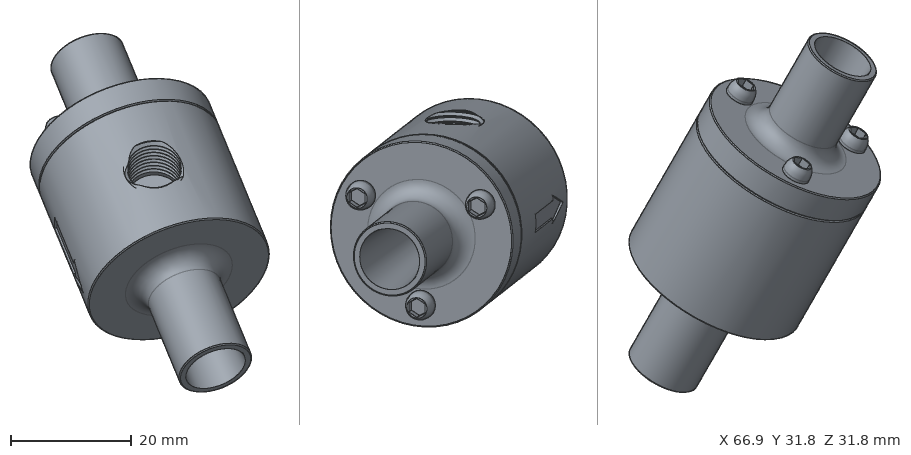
import cadquery as cq
import math

total_length = 66.85
inlet_x = -total_length / 2
outlet_x = total_length / 2
flange_x = inlet_x + 17.5
flange_thickness = 4.85
body_length = 25.45
joint_x = flange_x + flange_thickness
body_end_x = joint_x + body_length

body_radius = 31.75 / 2
tube_radius = 12.7 / 2
tube_fillet = 3.0
edge_chamfer = 0.2

mouth_radius = 5.2
throat_radius = 3.95

screw_count = 3
first_screw_angle = -90
screw_circle_radius = 12.0
head_radius = 2.43
head_tip_radius = 1.75
head_height = 2.45
head_rim_height = 0.5
head_crown_bulge = 0.15
socket_flats = 2.8
socket_depth = 1.4

port_x = inlet_x + 35.15
port_minor_radius = 8.87 / 2
port_major_radius = 10.28 / 2
port_depth = 9.0
thread_pitch = 25.4 / 27
thread_crest_width = 0.06
thread_overlap = 0.05
thread_turns_below_surface = 8.67
thread_turns = 10

arrow_tail_x = inlet_x + 30.25
arrow_shaft_length = 9.8
arrow_length = 15.0
arrow_shaft_width = 3.08
arrow_head_width = 4.8
arrow_depth = 0.45


def cylinder_along_x(start_x, end_x, radius):
    return cq.Workplane("YZ", origin=(start_x, 0, 0)).circle(radius).extrude(end_x - start_x)


def chamfered_disc(start_x, end_x):
    disc = cylinder_along_x(start_x, end_x, body_radius)
    return disc.faces("<X or >X").edges().chamfer(edge_chamfer)


def filleted_tube(base_x, end_x):
    """Tube whose root flares into the body face at base_x."""
    outward = math.copysign(1, end_x - base_x)
    fillet_end_x = base_x + outward * tube_fillet
    fillet_drop = tube_fillet * (1 - math.sqrt(0.5))
    return (
        cq.Workplane("XY")
        .moveTo(base_x, 0)
        .lineTo(base_x, tube_radius + tube_fillet)
        .threePointArc(
            (base_x + outward * fillet_drop, tube_radius + fillet_drop),
            (fillet_end_x, tube_radius),
        )
        .lineTo(end_x - outward * edge_chamfer, tube_radius)
        .lineTo(end_x, tube_radius - edge_chamfer)
        .lineTo(end_x, 0)
        .close()
        .revolve(360, (0, 0, 0), (1, 0, 0))
    )


def throat_bore():
    return (
        cq.Workplane("XY")
        .moveTo(inlet_x, 0)
        .lineTo(inlet_x, mouth_radius)
        .threePointArc((0, throat_radius), (outlet_x, mouth_radius))
        .lineTo(outlet_x, 0)
        .close()
        .revolve(360, (0, 0, 0), (1, 0, 0))
    )


def button_head_screw(angle):
    """Domed screw head with a hexagon socket, seated on the flange face."""
    tip_x = flange_x - head_height
    rim_x = flange_x - head_rim_height
    crown_middle = (
        (tip_x + rim_x) / 2 - head_crown_bulge,
        (head_tip_radius + head_radius) / 2 + head_crown_bulge,
    )
    head = (
        cq.Workplane("XY")
        .moveTo(tip_x, 0)
        .lineTo(tip_x, head_tip_radius)
        .threePointArc(crown_middle, (rim_x, head_radius))
        .lineTo(flange_x, head_radius)
        .lineTo(flange_x, 0)
        .close()
        .revolve(360, (0, 0, 0), (1, 0, 0))
    )
    socket_corners = socket_flats / math.cos(math.pi / 6)
    socket = (
        cq.Workplane("YZ", origin=(tip_x, 0, 0))
        .transformed(rotate=(0, 0, 90))
        .polygon(6, socket_corners)
        .extrude(socket_depth)
    )
    screw_y = screw_circle_radius * math.cos(math.radians(angle))
    screw_z = screw_circle_radius * math.sin(math.radians(angle))
    return head.cut(socket).translate((0, screw_y, screw_z))


def port_thread():
    """Helical V groove, cutting slightly inside the port wall and running out past the body surface."""
    start_z = body_radius - (thread_turns_below_surface * thread_pitch)
    inner_radius = port_minor_radius - thread_overlap
    half_groove = (thread_pitch - thread_crest_width) / 2
    helix = cq.Wire.makeHelix(thread_pitch, thread_turns * thread_pitch, port_minor_radius)
    groove = (
        cq.Workplane("XZ")
        .moveTo(inner_radius, -half_groove)
        .lineTo(port_major_radius, 0)
        .lineTo(inner_radius, half_groove)
        .close()
        .sweep(cq.Workplane(obj=helix), isFrenet=True)
    )
    return groove.translate((port_x, 0, start_z))


def port_hole():
    floor_z = body_radius - port_depth
    return (
        cq.Workplane("XY", origin=(port_x, 0, floor_z))
        .circle(port_minor_radius)
        .extrude(port_depth)
    )


def flow_arrow():
    """Flat-bottomed arrow pocket pointing toward the outlet."""
    shoulder_x = arrow_tail_x + arrow_shaft_length
    return (
        cq.Workplane("XZ", origin=(0, arrow_depth - body_radius, 0))
        .moveTo(arrow_tail_x, -arrow_shaft_width / 2)
        .lineTo(shoulder_x, -arrow_shaft_width / 2)
        .lineTo(shoulder_x, -arrow_head_width / 2)
        .lineTo(arrow_tail_x + arrow_length, 0)
        .lineTo(shoulder_x, arrow_head_width / 2)
        .lineTo(shoulder_x, arrow_shaft_width / 2)
        .lineTo(arrow_tail_x, arrow_shaft_width / 2)
        .close()
        .extrude(arrow_depth)
    )


result = chamfered_disc(flange_x, joint_x)
result = result.union(chamfered_disc(joint_x, body_end_x))
result = result.union(filleted_tube(flange_x, inlet_x))
result = result.union(filleted_tube(body_end_x, outlet_x))
for screw_index in range(screw_count):
    result = result.union(button_head_screw(first_screw_angle + screw_index * 360 / screw_count))
result = result.cut(throat_bore())
result = result.cut(port_thread())
result = result.cut(port_hole())
result = result.cut(flow_arrow())